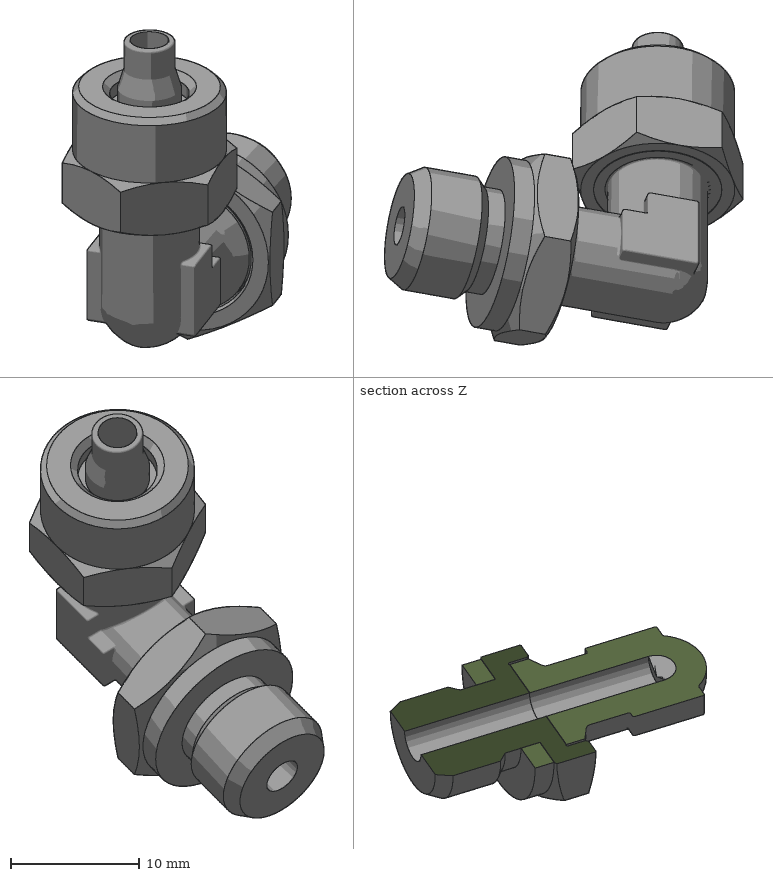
import cadquery as cq
import math


overall_height = 30.08
stud_flats = 14.0
bore_dia = 3.0
chamfer_slope = math.tan(math.radians(30))
edge_round = 0.2
pad_face_round = 0.18
root_round = 0.18

tube_dia = 7.8
heel_round = 3.0
bore_tip_angle = 118.0
pad_span = 9.0
pad_half_width = 2.08
pad_reach = 4.12

barb_top = overall_height - stud_flats / math.sqrt(3)
barb_tip_dia = 4.0
barb_root_dia = 5.0
barb_cone_top = 19.52
barb_cone_bottom = 17.93
neck_thread_dia = 10.0
neck_bottom = 8.05
neck_top = 16.4

shoulder_dia = 10.5
shoulder_round = 0.5
shoulder_round_start = 7.52
shoulder_cone_angle = math.radians(60)
shoulder_end = 10.23

nut_flats = 12.0
nut_bottom = 8.0
nut_hex_top = 12.55
nut_top = 18.0
nut_chamfer = 0.48
nut_mouth_dia = 7.3
nut_bore_dia = 6.2

stud_hex_front = 8.42
stud_hex_front_dia = 13.78
stud_hex_back = 11.97
stud_relief_dia = 8.3
stud_relief_end = 14.95
stud_thread_dia = 9.72
stud_thread_start = 15.67
stud_thread_end = 19.75
stud_end = 20.97
recess_dia = 10.8
recess_chamfer = 0.2

ring_dia = 13.5
ring_end = 13.6


tube_radius = tube_dia / 2
pad_root = math.sqrt(tube_radius**2 - pad_half_width**2)


def turned(profile):
    """Turn a half profile about the upright axis of its workplane: Z on XZ, Y on XY."""
    return profile.close().revolve(360, (0, 0, 0), (0, 1, 0))


def chamfered_hex(flats, bottom, top, bottom_dia, top_dia):
    """Hexagonal prism along Z with corners at +Y and -Y, turned down to cones at both ends."""
    corner_radius = flats / math.sqrt(3)
    prism = (
        cq.Workplane("XY", origin=(0, 0, bottom))
        .polygon(6, 2 * corner_radius)
        .extrude(top - bottom)
        .rotate((0, 0, 0), (0, 0, 1), 30)
    )
    envelope_radius = corner_radius + 0.3
    bottom_rise = (envelope_radius - bottom_dia / 2) * chamfer_slope
    top_drop = (envelope_radius - top_dia / 2) * chamfer_slope
    envelope = turned(
        cq.Workplane("XZ")
        .moveTo(0, bottom)
        .lineTo(bottom_dia / 2, bottom)
        .lineTo(envelope_radius, bottom + bottom_rise)
        .lineTo(envelope_radius, top - top_drop)
        .lineTo(top_dia / 2, top)
        .lineTo(0, top)
    )
    return prism.intersect(envelope)


def lay_along_y(shape):
    """Turn a shape built along +Z so that it runs along +Y."""
    return shape.rotate((0, 0, 0), (1, 0, 0), -90)


def mitred_tubes():
    """Two solid round arms meeting in a 45 degree mitre through the X axis."""
    overrun = tube_dia
    start = cq.Workplane("XY", origin=(0, 0, -overrun))
    arm_z = start.circle(tube_radius).extrude(overrun + neck_bottom - edge_round)
    arm_y = lay_along_y(start.circle(tube_radius).extrude(overrun + shoulder_round_start))
    reach = 3 * tube_dia
    mitre_line = [(-reach, -reach), (reach, reach)]
    above = cq.Workplane("YZ").polyline([*mitre_line, (-reach, reach)]).close().extrude(reach, both=True)
    below = cq.Workplane("YZ").polyline([*mitre_line, (reach, -reach)]).close().extrude(reach, both=True)
    return arm_z.intersect(above).union(arm_y.intersect(below))


def round_bend(tubes):
    """Round the heel and the inner corner of the mitre over the width between the pads."""
    half_width = pad_root + root_round / 2
    size = 4 * tube_dia
    slab = cq.Workplane("XY").box(2 * half_width, size, size)
    middle = tubes.intersect(slab)
    heel = middle.edges("%ELLIPSE").edges("<Z")
    middle = heel.fillet(heel_round)
    inner_zone = cq.selectors.BoxSelector((-0.3, 0.3, 0.3), (0.3, tube_dia, tube_dia))
    middle = middle.edges("%ELLIPSE").edges(inner_zone).fillet(edge_round)
    return middle.union(tubes.cut(slab))


def wrench_pads():
    """L-shaped block whose two ends stick out of the bend as flat wrench pads."""
    near = -pad_half_width
    far = pad_half_width
    outline = [
        (near, near),
        (pad_reach, near),
        (pad_reach, far),
        (far, far),
        (far, pad_reach),
        (near, pad_reach),
    ]
    block = cq.Workplane("YZ", origin=(-pad_span / 2, 0, 0)).polyline(outline).close().extrude(pad_span)
    return block.edges("|X").fillet(edge_round).faces("<X or >X").edges().fillet(pad_face_round)


def pad_root_edges(side):
    """Selector for the edges where the pad on one side (-1 or 1) meets the tubes."""
    margin = 0.03
    low = -pad_half_width - margin
    high = pad_reach + margin
    inner = side * tube_radius / 2
    outer = side * (tube_radius + margin)
    return cq.selectors.BoxSelector((inner, low, low), (outer, high, high), boundingbox=True)


def threaded_neck():
    """Thick neck for the nut thread, with the plain hose barb standing on it."""
    neck_radius = neck_thread_dia / 2
    barb_radius = barb_tip_dia / 2
    round_start = neck_bottom - edge_round
    return turned(
        cq.Workplane("XZ")
        .moveTo(0, round_start)
        .lineTo(tube_radius, round_start)
        .radiusArc((tube_radius + edge_round, neck_bottom), edge_round)
        .lineTo(neck_radius, neck_bottom)
        .lineTo(neck_radius, neck_top)
        .lineTo(barb_root_dia / 2, neck_top)
        .lineTo(barb_root_dia / 2, barb_cone_bottom)
        .lineTo(barb_radius, barb_cone_top)
        .lineTo(barb_radius, barb_top - edge_round)
        .radiusArc((barb_radius - edge_round, barb_top), -edge_round)
        .lineTo(0, barb_top)
    )


def swivel_shoulder():
    """Conical shoulder on the horizontal tube that sits in the recess of the stud."""
    radius = shoulder_dia / 2
    cone_start_radius = tube_radius + shoulder_round * (1 - math.cos(shoulder_cone_angle))
    cone_start = shoulder_round_start + shoulder_round * math.sin(shoulder_cone_angle)
    cone_end = cone_start + (radius - cone_start_radius) / math.tan(shoulder_cone_angle)
    return turned(
        cq.Workplane("XY")
        .moveTo(0, shoulder_round_start)
        .lineTo(tube_radius, shoulder_round_start)
        .radiusArc((cone_start_radius, cone_start), shoulder_round)
        .lineTo(radius, cone_end)
        .lineTo(radius, shoulder_end)
        .lineTo(0, shoulder_end)
    )


def elbow_bores():
    """Vertical bore with a conical drill tip, meeting a horizontal bore that ends on the Z axis."""
    radius = bore_dia / 2
    tip_depth = radius / math.tan(math.radians(bore_tip_angle / 2))
    vertical = turned(
        cq.Workplane("XZ")
        .moveTo(0, -tip_depth)
        .lineTo(radius, 0)
        .lineTo(radius, barb_top)
        .lineTo(0, barb_top)
    )
    horizontal = lay_along_y(cq.Workplane("XY").circle(radius).extrude(shoulder_end))
    return vertical.union(horizontal)


def make_elbow():
    body = round_bend(mitred_tubes()).union(wrench_pads())
    body = body.edges(pad_root_edges(-1) + pad_root_edges(1)).fillet(root_round)
    return body.union(threaded_neck()).union(swivel_shoulder()).cut(elbow_bores())


def make_union_nut():
    """Hexagon nut with a round collar, closed over the neck and open around the barb."""
    hexagon = chamfered_hex(nut_flats, nut_bottom, nut_hex_top, nut_flats, nut_flats)
    collar = (
        cq.Workplane("XY", origin=(0, 0, nut_hex_top))
        .circle(nut_flats / 2)
        .extrude(nut_top - nut_hex_top)
        .faces(">Z")
        .chamfer(nut_chamfer)
    )
    mouth_depth = (nut_mouth_dia - nut_bore_dia) / 2
    opening = turned(
        cq.Workplane("XZ")
        .moveTo(0, nut_bottom)
        .lineTo(neck_thread_dia / 2, nut_bottom)
        .lineTo(neck_thread_dia / 2, neck_top)
        .lineTo(nut_bore_dia / 2, neck_top)
        .lineTo(nut_bore_dia / 2, nut_top - mouth_depth)
        .lineTo(nut_mouth_dia / 2, nut_top)
        .lineTo(0, nut_top)
    )
    return hexagon.union(collar).cut(opening)


def make_stud():
    """Hexagon with a threaded end, bored through and recessed for the elbow's shoulder."""
    hexagon = lay_along_y(
        chamfered_hex(stud_flats, stud_hex_front, stud_hex_back, stud_hex_front_dia, ring_dia)
    )
    relief_radius = stud_relief_dia / 2
    thread_radius = stud_thread_dia / 2
    spigot = turned(
        cq.Workplane("XY")
        .moveTo(0, stud_hex_back)
        .lineTo(relief_radius, stud_hex_back)
        .lineTo(relief_radius, stud_relief_end)
        .lineTo(thread_radius, stud_thread_start)
        .lineTo(thread_radius, stud_thread_end)
        .lineTo(relief_radius, stud_end)
        .lineTo(0, stud_end)
    )
    recess_radius = recess_dia / 2
    bore_radius = bore_dia / 2
    opening = turned(
        cq.Workplane("XY")
        .moveTo(0, stud_hex_front)
        .lineTo(recess_radius + recess_chamfer, stud_hex_front)
        .lineTo(recess_radius, stud_hex_front + recess_chamfer)
        .lineTo(recess_radius, shoulder_end)
        .lineTo(bore_radius, shoulder_end)
        .lineTo(bore_radius, stud_end)
        .lineTo(0, stud_end)
    )
    return hexagon.union(spigot).cut(opening)


def make_sealing_ring():
    """Flat ring around the thread relief, against the back of the stud hexagon."""
    return lay_along_y(
        cq.Workplane("XY", origin=(0, 0, stud_hex_back))
        .circle(ring_dia / 2)
        .circle(stud_relief_dia / 2)
        .extrude(ring_end - stud_hex_back)
    )


elbow = make_elbow()
union_nut = make_union_nut()
stud = make_stud()
sealing_ring = make_sealing_ring()

result = cq.Compound.makeCompound([elbow.val(), union_nut.val(), stud.val(), sealing_ring.val()])